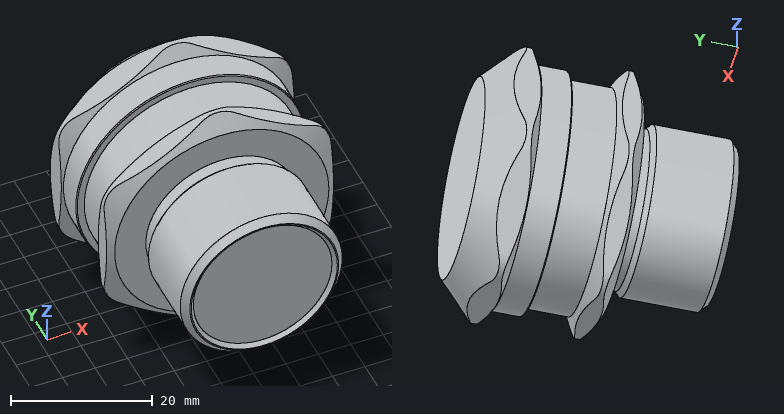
import cadquery as cq
import math

FRONT_END = 37.65
BACK_Y = FRONT_END / 2

DOME_FLATS = 36.0
DOME_END = 7.5
DOME_BACK_RADIUS = 14.65
DOME_CONE_ANGLE = 45.0

COLLAR_DIAMETER = 35.5
COLLAR_END = 11.95
COLLAR_CHAMFER = 0.15
BODY_DIAMETER = 33.0
BODY_END = 18.65

BODY_NUT_FLATS = 35.0
BODY_NUT_END = 22.7

HEX_CORNER_RADIUS = 5.1
NUT_BEVEL_ANGLE = 60.0

UNDERCUT_DIAMETER = 23.4
UNDERCUT_END = 24.6
SPIGOT_DIAMETER = 25.0
SPIGOT_BACK_CHAMFER = 0.8
SPIGOT_FRONT_CHAMFER = 1.05

RECESS_MOUTH_DIAMETER = 22.55
RECESS_FLOOR_DIAMETER = 21.37
RECESS_DEPTH = (RECESS_MOUTH_DIAMETER - RECESS_FLOOR_DIAMETER) / 2


def plane_at(station):
    """Plane across the axis at a station, facing the spigot end (-Y)."""
    return cq.Workplane("XZ", origin=(0, BACK_Y - station, 0))


def disc(start, end, diameter):
    return plane_at(start).circle(diameter / 2).extrude(end - start)


def cone_frustum(start, end, start_radius, end_radius):
    profile = [(0, start), (start_radius, start), (end_radius, end), (0, end)]
    points = [(radius, BACK_Y - station) for radius, station in profile]
    return cq.Workplane("XY").polyline(points).close().revolve(360, (0, 0), (0, 1))


def hex_nut(start, end, flats, back_radius, back_angle, front_radius):
    """Rounded hexagon trimmed by a cone at each end; angles are from the axis."""
    length = end - start
    prism = (
        plane_at(start)
        .transformed(rotate=(0, 0, 90))
        .polygon(6, flats / math.cos(math.pi / 6))
        .extrude(length)
        .edges("|Y")
        .fillet(HEX_CORNER_RADIUS)
    )
    back_growth = length * math.tan(math.radians(back_angle))
    front_growth = length * math.tan(math.radians(NUT_BEVEL_ANGLE))
    back_cone = cone_frustum(start, end, back_radius, back_radius + back_growth)
    front_cone = cone_frustum(start, end, front_radius + front_growth, front_radius)
    return prism.intersect(back_cone).intersect(front_cone)


def spigot():
    body = disc(UNDERCUT_END, FRONT_END, SPIGOT_DIAMETER)
    body = body.faces(">Y").chamfer(SPIGOT_BACK_CHAMFER)
    body = body.faces("<Y").chamfer(SPIGOT_FRONT_CHAMFER)
    recess = cone_frustum(
        FRONT_END - RECESS_DEPTH,
        FRONT_END,
        RECESS_FLOOR_DIAMETER / 2,
        RECESS_MOUTH_DIAMETER / 2,
    )
    return body.cut(recess)


dome_nut = hex_nut(
    0, DOME_END, DOME_FLATS, DOME_BACK_RADIUS, DOME_CONE_ANGLE, COLLAR_DIAMETER / 2
)
body_nut = hex_nut(
    BODY_END,
    BODY_NUT_END,
    BODY_NUT_FLATS,
    BODY_DIAMETER / 2,
    NUT_BEVEL_ANGLE,
    BODY_DIAMETER / 2,
)

collar = disc(DOME_END, COLLAR_END, COLLAR_DIAMETER).faces("<Y").chamfer(COLLAR_CHAMFER)

result = (
    dome_nut.union(collar)
    .union(disc(COLLAR_END, BODY_END, BODY_DIAMETER))
    .union(body_nut)
    .union(disc(BODY_NUT_END, UNDERCUT_END, UNDERCUT_DIAMETER))
    .union(spigot())
)